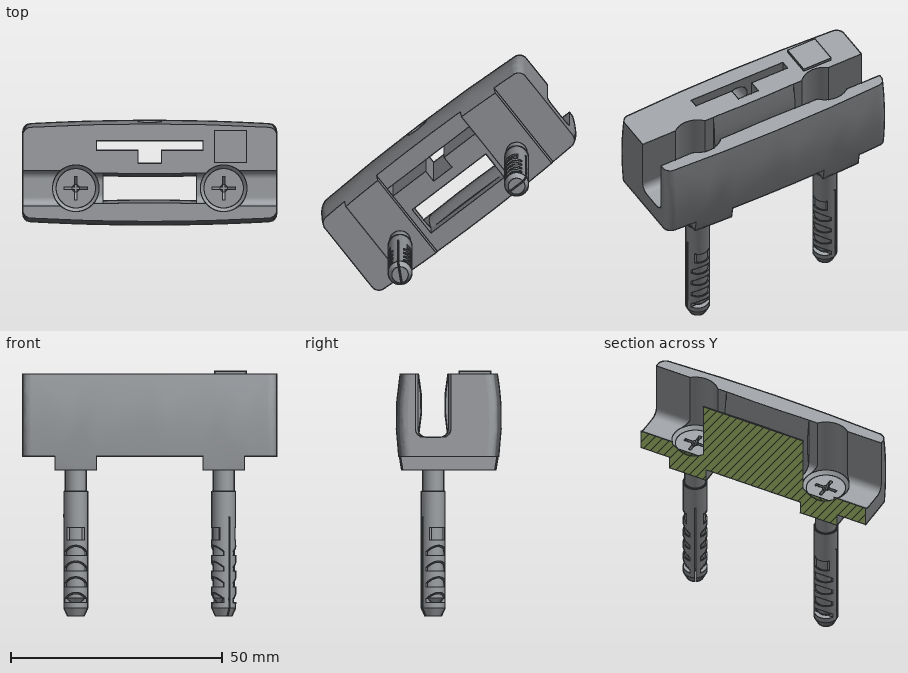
import cadquery as cq
import math

LENGTH = 60.0
FRONT_Y = -8.75
BACK_Y = 16.1
TOP_Z = 19.45
FOOT_HEIGHT = 3.27
FOOT_WIDTH = 9.85
CROWN_PLAN_RADIUS = 500.0
CROWN_HEIGHT_RADIUS = 64.0
CROWN_CREST_Z = 8.6
CORNER_RADIUS = 2.0

SLOT_FLOOR_Z = 4.55
END_SLOT_WIDTH = 8.4
MIDDLE_SLOT_WIDTH = 7.16
SLOT_FILLET = 2.0
OPENING_LENGTH = 22.0
BULGE_GAP = 5.35
BULGE_PLAN_RADIUS = 300.0
BULGE_HEIGHT_RADIUS = 37.0

T_BAR_LENGTH = 25.1
T_BAR_FRONT_Y = 9.0
T_BAR_BACK_Y = 11.2
T_STEM_WIDTH = 5.45
T_STEM_FRONT_Y = 5.95
BACK_HOLE_DIAMETER = 5.5
BACK_HOLE_Z = 14.5

PAD_SIZE = 7.5
PAD_HEIGHT = 0.65
PAD_CENTER = (19.05, 9.85)

SCREW_X = 17.45
HEAD_DIAMETER = 9.3
HEAD_POCKET_DIAMETER = 11.0
SHANK_DIAMETER = 5.0
SCREW_TIP_DIAMETER = 2.39
SCREW_TIP_LENGTH = 1.63
TAPER_ABOVE_TOOTH = 1.08
CROSS_LENGTH = 5.5
CROSS_WIDTH = 0.65
CROSS_BOTTOM_LENGTH = 1.8
CROSS_DEPTH = 2.0
CROSS_PIT_DIAMETER = 1.7

PLUG_DIAMETER = 5.69
PLUG_TOP_Z = -8.18
PLUG_LENGTH = 29.54
PLUG_TOP_CHAMFER = 0.15
PLUG_NOSE_DIAMETER = 3.9
PLUG_NOSE_LENGTH = 1.92
SLIT_WIDTH = 0.3
SLIT_TOP_Z = -14.3
WINDOW_TOP_Z = -16.8
WINDOW_HEIGHT = 2.9
WINDOW_FLOOR_Y = 2.0
TOOTH_COUNT = 4
TOOTH_PITCH = 3.71
LOWEST_TOOTH_Z = -34.5
TOOTH_FLOOR_Y = 1.25
TOOTH_FLOOR_HEIGHT = 0.9
TOOTH_OUTER_HEIGHT = 2.4
LEFT_PLUG_TURN = 0.0
RIGHT_PLUG_TURN = -62.0

FOOT_Z = -FOOT_HEIGHT
CROWN_HEIGHT = 2 * max(TOP_Z - CROWN_CREST_Z, CROWN_CREST_Z - FOOT_Z)
BODY_WIDTH = BACK_Y - FRONT_Y
SLOT_HEIGHT = TOP_Z - SLOT_FLOOR_Z
SLOT_MIDDLE_Z = (TOP_Z + SLOT_FLOOR_Z) / 2
HEAD_TOP_Z = SLOT_FLOOR_Z - (HEAD_POCKET_DIAMETER - HEAD_DIAMETER) / 2
HEAD_CONE_Z = HEAD_TOP_Z - (HEAD_DIAMETER - SHANK_DIAMETER) / 2
PLUG_BOTTOM_Z = PLUG_TOP_Z - PLUG_LENGTH
SCREW_TAPER_Z = LOWEST_TOOTH_Z + TAPER_ABOVE_TOOTH
SCREW_TIP_Z = SCREW_TAPER_Z - SCREW_TIP_LENGTH


def box(x_range, y_range, z_range):
    """Box between the given limits."""
    size = [high - low for low, high in (x_range, y_range, z_range)]
    corner = (x_range[0], y_range[0], z_range[0])
    return cq.Workplane("XY").box(*size, centered=False).translate(corner)


def revolved(profile):
    """Solid turned about Z from (radius, height) points."""
    return cq.Workplane("XZ").polyline(profile).close().revolve(360, (0, 0), (0, 1))


def crowned_ring(crest_y, facing, plan_radius, height_radius, middle_z, height):
    """Ring whose outer face is a doubly curved crown with its crest at crest_y, facing +Y or -Y."""
    depth = BODY_WIDTH * 1.5
    half = height / 2
    edge_radius = plan_radius - height_radius + math.sqrt(height_radius**2 - half**2)
    ring = (
        cq.Workplane("XZ")
        .moveTo(plan_radius - depth, -half)
        .lineTo(edge_radius, -half)
        .threePointArc((plan_radius, 0), (edge_radius, half))
        .lineTo(plan_radius - depth, half)
        .close()
        .revolve(360, (0, 0), (0, 1))
    )
    return ring.translate((0, crest_y - facing * plan_radius, middle_z))


def make_crowned_block():
    """Outer block with crowned front and back faces and rounded vertical corners, standing on two feet."""
    block = box((-LENGTH / 2, LENGTH / 2), (FRONT_Y, BACK_Y), (FOOT_Z, TOP_Z))
    for crest_y, facing in ((FRONT_Y, -1), (BACK_Y, 1)):
        block = block.intersect(
            crowned_ring(
                crest_y, facing, CROWN_PLAN_RADIUS, CROWN_HEIGHT_RADIUS, CROWN_CREST_Z, CROWN_HEIGHT
            )
        )
    for side in ("<X", ">X"):
        block = block.faces(side).edges("<Y or >Y").fillet(CORNER_RADIUS)
    inner_foot_x = SCREW_X - FOOT_WIDTH / 2
    outer_foot_x = SCREW_X + FOOT_WIDTH / 2
    for x_range in (
        (-LENGTH / 2, -outer_foot_x),
        (-inner_foot_x, inner_foot_x),
        (outer_foot_x, LENGTH / 2),
    ):
        block = block.cut(box(x_range, (FRONT_Y, BACK_Y), (FOOT_Z, 0)))
    return block


def slot_cutter(length, width, middle_x):
    """Slot tool with rounded floor corners."""
    half_length = length / 2
    x_range = (middle_x - half_length, middle_x + half_length)
    tool = box(x_range, (-width / 2, width / 2), (SLOT_FLOOR_Z, TOP_Z))
    return tool.faces("<Z").edges("|X").fillet(SLOT_FILLET)


def bulged_cutter():
    """Middle slot tool, which leaves both slot walls bulging inwards."""
    half_length = OPENING_LENGTH / 2
    half_width = MIDDLE_SLOT_WIDTH / 2
    tool = box((-half_length, half_length), (-half_width, half_width), (SLOT_FLOOR_Z, TOP_Z))
    for facing in (-1, 1):
        crest_y = -facing * BULGE_GAP / 2
        tool = tool.cut(
            crowned_ring(
                crest_y, facing, BULGE_PLAN_RADIUS, BULGE_HEIGHT_RADIUS, SLOT_MIDDLE_Z, SLOT_HEIGHT
            )
        )
    return tool


def floor_opening():
    """Tool for the opening through the floor below the bulged walls."""
    half_length = OPENING_LENGTH / 2
    half_width = MIDDLE_SLOT_WIDTH / 2
    return box((-half_length, half_length), (-half_width, half_width), (0, SLOT_FLOOR_Z))


def t_opening():
    """Tool for the T-shaped opening through the full height."""
    bar = box((-T_BAR_LENGTH / 2, T_BAR_LENGTH / 2), (T_BAR_FRONT_Y, T_BAR_BACK_Y), (0, TOP_Z))
    stem = box((-T_STEM_WIDTH / 2, T_STEM_WIDTH / 2), (T_STEM_FRONT_Y, T_BAR_FRONT_Y), (0, TOP_Z))
    return bar.union(stem)


def back_hole():
    """Tool for the round hole from the back face into the T-shaped opening."""
    inner_end_y = (T_BAR_FRONT_Y + T_BAR_BACK_Y) / 2
    return (
        cq.Workplane("XZ", origin=(0, inner_end_y, BACK_HOLE_Z))
        .circle(BACK_HOLE_DIAMETER / 2)
        .extrude(-BODY_WIDTH / 2)
    )


def head_pocket():
    """Tool for the access bore and countersink above a screw head."""
    return revolved([
        (0, HEAD_TOP_Z),
        (HEAD_DIAMETER / 2, HEAD_TOP_Z),
        (HEAD_POCKET_DIAMETER / 2, SLOT_FLOOR_Z),
        (HEAD_POCKET_DIAMETER / 2, TOP_Z),
        (0, TOP_Z),
    ])


def screw_blank():
    """Screw at the origin without its drive recess: countersunk head, shank and blunt conical tip."""
    return revolved([
        (0, HEAD_TOP_Z),
        (HEAD_DIAMETER / 2, HEAD_TOP_Z),
        (SHANK_DIAMETER / 2, HEAD_CONE_Z),
        (SHANK_DIAMETER / 2, SCREW_TAPER_Z),
        (SCREW_TIP_DIAMETER / 2, SCREW_TIP_Z),
        (0, SCREW_TIP_Z),
    ])


def make_body():
    body = make_crowned_block()
    end_length = LENGTH / 2 - SCREW_X
    strip_length = SCREW_X - OPENING_LENGTH / 2
    for side in (-1, 1):
        screw_x = side * SCREW_X
        body = body.cut(slot_cutter(end_length, END_SLOT_WIDTH, side * (SCREW_X + end_length / 2)))
        body = body.cut(slot_cutter(strip_length, MIDDLE_SLOT_WIDTH, side * (SCREW_X - strip_length / 2)))
        body = body.cut(head_pocket().translate((screw_x, 0, 0)))
        body = body.cut(screw_blank().translate((screw_x, 0, 0)))
    body = body.cut(bulged_cutter()).cut(floor_opening())
    body = body.cut(t_opening()).cut(back_hole())
    pad = (
        cq.Workplane("XY", origin=(*PAD_CENTER, TOP_Z)).rect(PAD_SIZE, PAD_SIZE).extrude(PAD_HEIGHT)
    )
    return body.union(pad)


def cross_recess():
    """Tool for the cross drive: two crossed tapered blades and a conical centre pit."""
    bottom_z = HEAD_TOP_Z - CROSS_DEPTH
    blade = (
        cq.Workplane("XZ")
        .polyline([
            (-CROSS_LENGTH / 2, HEAD_TOP_Z),
            (CROSS_LENGTH / 2, HEAD_TOP_Z),
            (CROSS_BOTTOM_LENGTH / 2, bottom_z),
            (-CROSS_BOTTOM_LENGTH / 2, bottom_z),
        ])
        .close()
        .extrude(CROSS_WIDTH / 2, both=True)
    )
    pit = revolved([(0, HEAD_TOP_Z), (CROSS_PIT_DIAMETER / 2, HEAD_TOP_Z), (0, bottom_z)])
    return blade.union(blade.rotate((0, 0, 0), (0, 0, 1), 90)).union(pit)


def make_screw(x):
    return screw_blank().cut(cross_recess()).translate((x, 0, 0))


def tooth_notch(bottom_z):
    """Tool for one saw-tooth notch on the -Y side: flat below, sloping outwards above."""
    outer_y = PLUG_DIAMETER / 2
    return (
        cq.Workplane("YZ")
        .polyline([
            (-TOOTH_FLOOR_Y, bottom_z),
            (-outer_y, bottom_z),
            (-outer_y, bottom_z + TOOTH_OUTER_HEIGHT),
            (-TOOTH_FLOOR_Y, bottom_z + TOOTH_FLOOR_HEIGHT),
        ])
        .close()
        .extrude(PLUG_DIAMETER / 2, both=True)
    )


def make_plug(x, turn):
    """Slit wall plug with a window and a row of saw-tooth notches on two opposite sides."""
    radius = PLUG_DIAMETER / 2
    plug = revolved([
        (0, PLUG_TOP_Z),
        (radius - PLUG_TOP_CHAMFER, PLUG_TOP_Z),
        (radius, PLUG_TOP_Z - PLUG_TOP_CHAMFER),
        (radius, PLUG_BOTTOM_Z + PLUG_NOSE_LENGTH),
        (PLUG_NOSE_DIAMETER / 2, PLUG_BOTTOM_Z),
        (0, PLUG_BOTTOM_Z),
    ])
    window_z = (WINDOW_TOP_Z - WINDOW_HEIGHT, WINDOW_TOP_Z)
    cutters = [box((-radius, radius), (-radius, -WINDOW_FLOOR_Y), window_z)]
    cutters += [tooth_notch(LOWEST_TOOTH_Z + i * TOOTH_PITCH) for i in range(TOOTH_COUNT)]
    for cutter in cutters:
        plug = plug.cut(cutter).cut(cutter.mirror("XZ"))
    half_slit = SLIT_WIDTH / 2
    plug = plug.cut(box((-radius, radius), (-half_slit, half_slit), (PLUG_BOTTOM_Z, SLIT_TOP_Z)))
    plug = plug.cut(screw_blank())
    return plug.rotate((0, 0, 0), (0, 0, 1), turn).translate((x, 0, 0))


body = make_body()
screws = [make_screw(x) for x in (-SCREW_X, SCREW_X)]
plugs = [
    make_plug(x, turn) for x, turn in ((-SCREW_X, LEFT_PLUG_TURN), (SCREW_X, RIGHT_PLUG_TURN))
]

solids = [body.solids().val().fix()]
solids += [part.solids().val() for part in (*screws, *plugs)]
result = cq.Compound.makeCompound(solids)